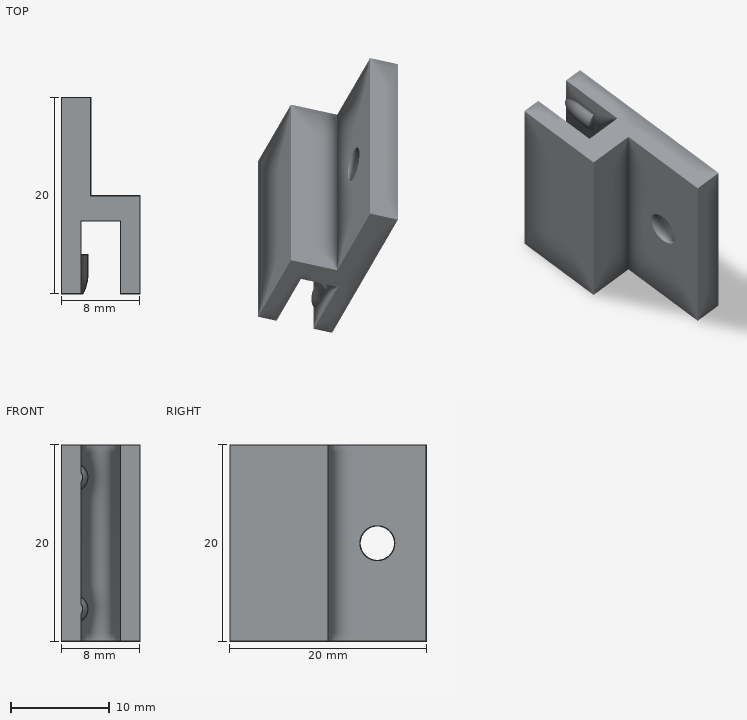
import cadquery as cq
import math

width = 8.0
depth = 20.0
height = 20.0
left = -width / 2
front = -depth / 2

plate_thickness = 3.0
arm_thickness = 2.0
fork_back = 0.0
slot_width = width - 2 * arm_thickness
slot_left = left + arm_thickness

floor_edge_y = -2.6
floor_radius = 100.0

hole_diameter = 3.5
hole_y = 5.0

bump_radius = 1.4
bump_nose_radius = 4.0
bump_height = 0.7
bump_length = 4.0
bump_nose_length = 2.0
bump_spacing = 13.4


def make_body():
    plate = cq.Workplane("XY").box(plate_thickness, depth, height)
    plate = plate.translate((left + plate_thickness / 2, 0, 0))
    fork_depth = fork_back - front
    fork = cq.Workplane("XY").box(width, fork_depth, height)
    fork = fork.translate((0, front + fork_depth / 2, 0))
    return plate.union(fork)


def make_slot():
    half_height = height / 2
    sag = floor_radius - math.sqrt(floor_radius**2 - half_height**2)
    return (
        cq.Workplane("YZ", origin=(slot_left, 0, 0))
        .moveTo(front, -half_height)
        .lineTo(floor_edge_y, -half_height)
        .threePointArc((floor_edge_y + sag, 0), (floor_edge_y, half_height))
        .lineTo(front, half_height)
        .close()
        .extrude(slot_width)
    )


def make_hole():
    return (
        cq.Workplane("YZ", origin=(left, 0, 0))
        .center(hole_y, 0)
        .circle(hole_diameter / 2)
        .extrude(plate_thickness)
    )


def make_bump(z):
    """Round bar along Y with a front nose rounded tangent to the bar, sunk into the arm."""
    axis_x = slot_left + bump_height - bump_radius
    nose_end = front + bump_nose_length
    nose_center_x = axis_x + bump_radius - bump_nose_radius
    nose_angle = math.asin(bump_nose_length / bump_nose_radius)
    tip_x = nose_center_x + bump_nose_radius * math.cos(nose_angle)
    nose_middle = (
        nose_center_x + bump_nose_radius * math.cos(nose_angle / 2),
        nose_end - bump_nose_radius * math.sin(nose_angle / 2),
    )
    bar_end = front + bump_length
    bar = (
        cq.Workplane("XY")
        .moveTo(axis_x, front)
        .lineTo(tip_x, front)
        .threePointArc(nose_middle, (axis_x + bump_radius, nose_end))
        .lineTo(axis_x + bump_radius, bar_end)
        .lineTo(axis_x, bar_end)
        .close()
        .revolve(360, (axis_x, front, 0), (axis_x, bar_end, 0))
        .translate((0, 0, z))
    )
    return bar.intersect(make_slot())


result = make_body().cut(make_slot()).cut(make_hole())
for bump_z in (-bump_spacing / 2, bump_spacing / 2):
    result = result.union(make_bump(bump_z))